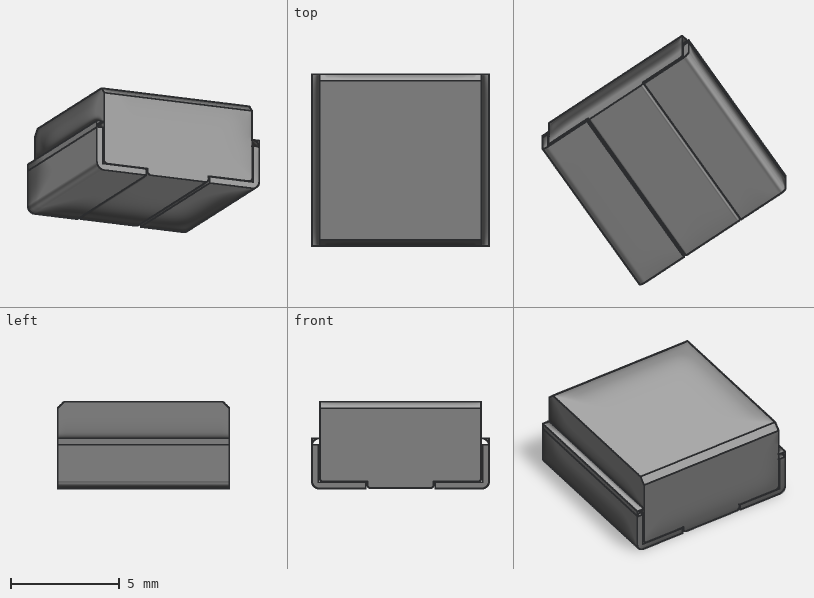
import cadquery as cq

length_y = 7.9
body_width = 7.42
body_top = 4.0
top_chamfer = 0.3
lower_edge_radius = 0.15

overall_width = 8.15
sheet = 0.3
bend_radius = 0.35
leg_height = 2.025
lip_height = leg_height + sheet
film = 0.01

lift = 0.025
foot_width = 3.05
body_bottom = sheet + lift

outer_x = overall_width / 2
body_x = body_width / 2
foot_x = foot_width / 2
leg_inner_x = outer_x - sheet
side_gap = leg_inner_x - body_x
pad_end_x = foot_x + side_gap


def box(x_min, x_max, z_min, z_max):
    """Block running the full depth along Y."""
    width = x_max - x_min
    height = z_max - z_min
    center = ((x_min + x_max) / 2, 0, (z_min + z_max) / 2)
    return cq.Workplane("XY").box(width, length_y, height).translate(center)


def make_body():
    """Block with chamfered top ends, standing on a narrower foot."""
    block = box(-body_x, body_x, body_bottom, body_top)
    block = block.faces(">Z").edges("|X").chamfer(top_chamfer)
    block = block.faces("<Z").edges("|Y").fillet(lower_edge_radius)
    foot = box(-foot_x, foot_x, lift, body_bottom)
    foot = foot.faces("<Z").edges("|Y").fillet(lower_edge_radius)
    return block.union(foot).solids()


def make_terminal(side):
    """L-shaped terminal with a hollow lip on top; side is +1 for +X and -1 for -X."""
    pad = box(pad_end_x, outer_x, 0, sheet)
    leg = box(leg_inner_x, outer_x, 0, leg_height)
    angle = pad.union(leg).edges("|Y and >X and <Z").fillet(bend_radius)

    lip = box(body_x, outer_x, leg_height - film, lip_height)
    passage = box(body_x, outer_x - film, leg_height - bend_radius, lip_height - film)
    passage = passage.edges("|Y and >X and >Z").fillet(bend_radius - film)
    passage = passage.intersect(box(body_x, outer_x, leg_height, lip_height))

    terminal = angle.union(lip.cut(passage))
    if side < 0:
        terminal = terminal.mirror("YZ")
    return terminal.solids()


body = make_body()
terminals = [make_terminal(side) for side in (-1, 1)]

result = cq.Compound.makeCompound([body.val(), *[terminal.val() for terminal in terminals]])